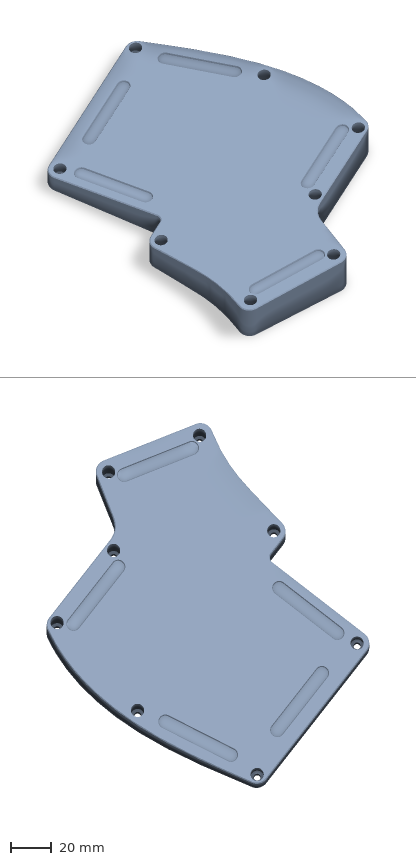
import cadquery as cq
import math

tilt_angle = math.radians(5.0)
slope_direction = (math.cos(tilt_angle), 0, math.sin(tilt_angle))
slope_normal = (-math.sin(tilt_angle), 0, math.cos(tilt_angle))
height_left = 10.30
top_edge_chamfer = 0.5
block_margin = 10.0
blank_height = 30.0

right_x = 132.15
step_x = 66.0
front_y = 34.3
corner_radius = 6.0
inner_corner_radius = 3.0

back_left = (0.0, 125.9)
back_peak = (81.0, 139.89)
back_right = (right_x, 127.4)
back_guides = [(40.0, 135.5), back_peak, (110.0, 136.3)]

neck_start = (right_x, 75.0)
neck_end = (143.0, 62.0)
neck_start_direction = (0, -1)
neck_end_direction = (0.85, -0.53)
thumb_right = (161.59, 50.8)
thumb_angle = 60.0
thumb_edge_length = 60.8
thumb_front = (
    thumb_right[0] - thumb_edge_length * math.cos(math.radians(thumb_angle)),
    thumb_right[1] - thumb_edge_length * math.sin(math.radians(thumb_angle)),
)
thumb_curve_end = (123.9, 2.1)
thumb_curve_guides = [(115.0, 6.6), (105.0, 10.1), (89.0, 13.2)]
thumb_curve_start = (73.8, 15.5)
thumb_left = (step_x, 16.6)

screw_diameter = 3.4
counterbore_diameter = 6.5
counterbore_floor = 4.0
screw_points = [
    (6.0, 40.3),
    (4.9, 122.2),
    (70.2, 133.4),
    (127.6, 123.4),
    (127.6, 77.9),
    (153.2, 48.6),
    (129.2, 6.6),
    (71.9, 21.5),
]

groove_length = 43.0
groove_width = 7.0
groove_depth = 0.8
groove_wall_inset = 0.4
grooves = [
    (10.5, 80.7, 90.0),
    (38.5, 125.9, 11.0),
    (34.6, 42.3, 0.0),
    (120.9, 100.9, 90.0),
    (137.3, 29.5, thumb_angle),
]


def build_outline():
    return (
        cq.Workplane("XY")
        .moveTo(0, front_y)
        .lineTo(*back_left)
        .spline(back_guides + [back_right], includeCurrent=True)
        .lineTo(*neck_start)
        .spline([neck_end], tangents=[neck_start_direction, neck_end_direction], includeCurrent=True)
        .lineTo(*thumb_right)
        .lineTo(*thumb_front)
        .lineTo(*thumb_curve_end)
        .spline(thumb_curve_guides + [thumb_curve_start], includeCurrent=True)
        .lineTo(*thumb_left)
        .lineTo(step_x, front_y)
        .close()
    )


def edge_at(x, y):
    """Selector for the upright blank edge nearest to a plan position."""
    return cq.selectors.NearestToPointSelector((x, y, blank_height / 2))


def slope_height(x):
    return height_left + x * math.tan(tilt_angle)


def below_slope():
    """Block reaching from the underside to the sloped top, wider than the case."""
    start = -block_margin
    end = thumb_right[0] + block_margin
    return (
        cq.Workplane("XZ", origin=(0, back_peak[1] + block_margin, 0))
        .polyline([(start, 0), (end, 0), (end, slope_height(end)), (start, slope_height(start))])
        .close()
        .extrude(back_peak[1] + 2 * block_margin)
    )


def build_body():
    blank = build_outline().extrude(blank_height)
    for corner in [(0, front_y), back_left, back_right, thumb_right, thumb_front, thumb_left]:
        blank = blank.edges("|Z").edges(edge_at(*corner)).fillet(corner_radius)
    blank = blank.edges("|Z").edges(edge_at(step_x, front_y)).fillet(inner_corner_radius)
    body = blank.intersect(below_slope())
    sloped_top = cq.selectors.DirectionMinMaxSelector(cq.Vector(*slope_normal), True)
    return body.faces(sloped_top).chamfer(top_edge_chamfer)


def cut_grooves(body):
    wall_taper = math.degrees(math.atan2(groove_wall_inset, groove_depth))
    for x, y, angle in grooves:
        slope = cq.Plane(origin=(x, y, slope_height(x)), xDir=slope_direction, normal=slope_normal)
        groove = (
            cq.Workplane(slope)
            .slot2D(groove_length, groove_width, angle)
            .extrude(-groove_depth, taper=wall_taper)
        )
        body = body.cut(groove)
    return body


def cut_screw_holes(body):
    shafts = cq.Workplane("XY").pushPoints(screw_points).circle(screw_diameter / 2).extrude(blank_height)
    heads = (
        cq.Workplane("XY", origin=(0, 0, counterbore_floor))
        .pushPoints(screw_points)
        .circle(counterbore_diameter / 2)
        .extrude(blank_height)
    )
    return body.cut(shafts).cut(heads)


result = cut_screw_holes(cut_grooves(build_body()))